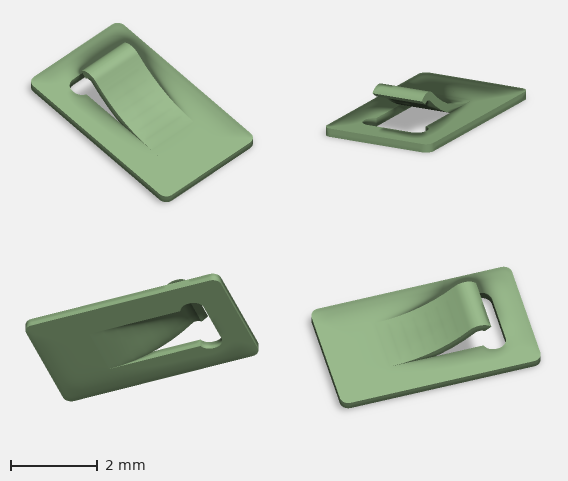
import cadquery as cq
import math

plate_length = 4.8
plate_width = 2.8
thickness = 0.2
corner_radius = 0.2

slot_x = -1.465
slot_width = 0.555
slot_length = 1.64
slot_corner_radius = 0.25

tongue_width = 1.295
tongue_root_x = 1.4
bend_start_x = 1.055
crest_height = 1.0
rise_radius = 2.93
curl_radius = 0.345
crest_flat = 0.02
tip_angle = 54.0

rise_center_z = thickness + rise_radius
curl_center_z = crest_height - curl_radius
center_rise = rise_center_z - curl_center_z
center_run = math.sqrt((rise_radius + curl_radius) ** 2 - center_rise**2)
curl_center_x = bend_start_x - center_run
tip_center_x = curl_center_x - crest_flat
rise_angle = math.degrees(math.atan2(center_run, center_rise))


def on_rise(radius, angle):
    """Point on the rising bend, at an angle from its lowest point toward the tip."""
    turn = math.radians(angle)
    return (bend_start_x - radius * math.sin(turn), rise_center_z - radius * math.cos(turn))


def on_curl(center_x, radius, angle):
    """Point on the curl, at an angle from its crest, positive toward the root."""
    turn = math.radians(angle)
    return (center_x + radius * math.sin(turn), curl_center_z + radius * math.cos(turn))


def make_tongue():
    """Sheet strip that is flat at the root, rises in a bend and curls over at the tip."""
    lower_rise = rise_radius + thickness
    inner_curl = curl_radius - thickness
    profile = (
        cq.Workplane("XZ")
        .moveTo(tongue_root_x, 0)
        .lineTo(tongue_root_x, thickness)
        .lineTo(bend_start_x, thickness)
        .threePointArc(on_rise(rise_radius, rise_angle / 2), on_rise(rise_radius, rise_angle))
        .threePointArc(
            on_curl(curl_center_x, curl_radius, rise_angle / 2),
            on_curl(curl_center_x, curl_radius, 0),
        )
        .lineTo(*on_curl(tip_center_x, curl_radius, 0))
        .threePointArc(
            on_curl(tip_center_x, curl_radius, -tip_angle / 2),
            on_curl(tip_center_x, curl_radius, -tip_angle),
        )
        .lineTo(*on_curl(tip_center_x, inner_curl, -tip_angle))
        .threePointArc(
            on_curl(tip_center_x, inner_curl, -tip_angle / 2),
            on_curl(tip_center_x, inner_curl, 0),
        )
        .lineTo(*on_curl(curl_center_x, inner_curl, 0))
        .threePointArc(
            on_curl(curl_center_x, inner_curl, rise_angle / 2),
            on_curl(curl_center_x, inner_curl, rise_angle),
        )
        .threePointArc(on_rise(lower_rise, rise_angle / 2), on_rise(lower_rise, 0))
        .close()
    )
    return profile.extrude(tongue_width / 2, both=True).solids()


def make_plate():
    """Rounded plate with a window for the tongue that opens into the cross slot."""
    base = (
        cq.Workplane("XY")
        .rect(plate_length, plate_width)
        .extrude(thickness)
        .edges("|Z")
        .fillet(corner_radius)
    )
    slot = (
        cq.Workplane("XY")
        .center(slot_x, 0)
        .rect(slot_width, slot_length)
        .extrude(thickness)
        .edges("|Z")
        .fillet(slot_corner_radius)
    )
    window_length = tongue_root_x - slot_x
    window = (
        cq.Workplane("XY")
        .center(slot_x + window_length / 2, 0)
        .rect(window_length, tongue_width)
        .extrude(thickness)
    )
    return base.cut(slot).cut(window).solids()


plate = make_plate()
tongue = make_tongue()

result = cq.Compound.makeCompound([plate.val(), tongue.val()])